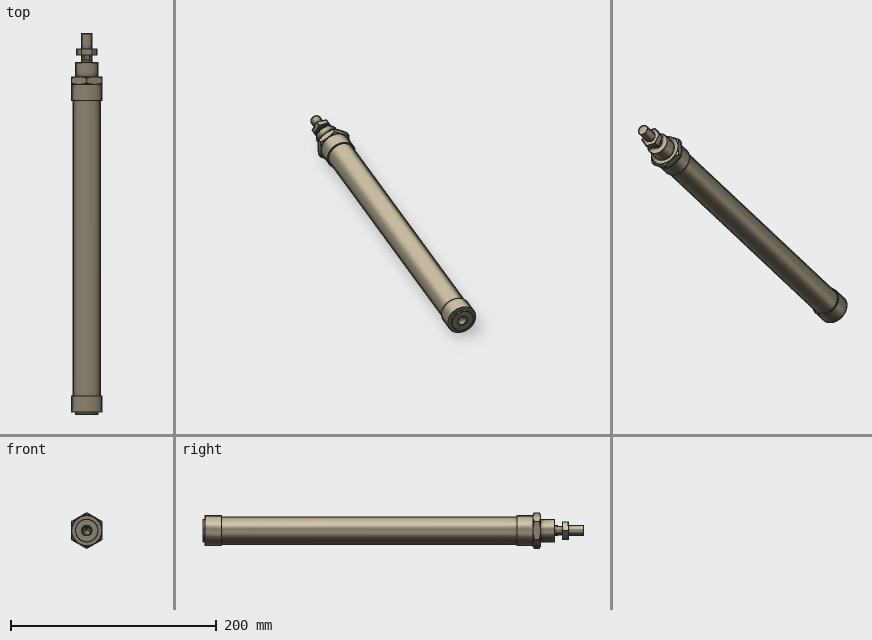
import cadquery as cq
import math

TOTAL_LENGTH = 370.5
ROD_TIP = TOTAL_LENGTH / 2
REAR_END = -TOTAL_LENGTH / 2

BARREL_DIAMETER = 26.5
CAP_DIAMETER = 29.3
BOSS_DIAMETER = 22.0
FRONT_BOSS_FACE = ROD_TIP - 28.0
FRONT_CAP_FACE = FRONT_BOSS_FACE - 21.0
FRONT_CAP_LENGTH = 15.5
REAR_CAP_LENGTH = 16.0
REAR_BOSS_LENGTH = 2.2
PORT_DIAMETER = 9.0
PORT_CHAMFER = 0.55
PORT_DEPTH = 11.0
DRILL_POINT_ANGLE = 118.0

ROD_DIAMETER = 10.0
WRENCH_FLAT_WIDTH = 8.0
WRENCH_FLAT_LENGTH = 5.0
ROD_REAR_END = FRONT_CAP_FACE - FRONT_CAP_LENGTH

ROD_NUT_FLATS = 17.0
ROD_NUT_THICKNESS = 6.0
ROD_NUT_FRONT = ROD_TIP - 15.0
FLAT_FRONT = ROD_NUT_FRONT - ROD_NUT_THICKNESS

MOUNT_NUT_FLATS = 30.0
MOUNT_NUT_THICKNESS = 7.5
CHAMFER_ANGLE = 30.0


def cylinder(diameter, start, length):
    """Cylinder about the Y axis, running from start towards -Y."""
    return cq.Workplane("XZ", origin=(0, start, 0)).circle(diameter / 2).extrude(length)


def hex_nut(across_flats, bore, front, thickness, corner_angle):
    """Hexagonal nut with corners at corner_angle from the X axis."""
    corner_diameter = across_flats / math.cos(math.radians(30))
    return (
        cq.Workplane("XZ", origin=(0, front, 0))
        .transformed(rotate=(0, 0, corner_angle))
        .polygon(6, corner_diameter)
        .circle(bore / 2)
        .extrude(thickness)
    )


def corner_chamfer_envelope(across_flats, front, thickness):
    """Double-coned disc that trims the corners of a nut on both faces."""
    face_radius = across_flats / 2
    corner_radius = face_radius / math.cos(math.radians(30))
    chamfer_height = (corner_radius - face_radius) * math.tan(math.radians(CHAMFER_ANGLE))
    back = front - thickness
    return (
        cq.Workplane("XY")
        .moveTo(0, back)
        .lineTo(face_radius, back)
        .lineTo(corner_radius, back + chamfer_height)
        .lineTo(corner_radius, front - chamfer_height)
        .lineTo(face_radius, front)
        .lineTo(0, front)
        .close()
        .revolve(360, (0, 0, 0), (0, 1, 0))
    )


def rear_port():
    """Blind drilled port with a chamfered mouth and a conical bottom."""
    radius = PORT_DIAMETER / 2
    point_height = radius / math.tan(math.radians(DRILL_POINT_ANGLE / 2))
    return (
        cq.Workplane("XY")
        .moveTo(0, REAR_END)
        .lineTo(radius + PORT_CHAMFER, REAR_END)
        .lineTo(radius, REAR_END + PORT_CHAMFER)
        .lineTo(radius, REAR_END + PORT_DEPTH)
        .lineTo(0, REAR_END + PORT_DEPTH + point_height)
        .close()
        .revolve(360, (0, 0, 0), (0, 1, 0))
    )


def make_housing():
    rear_cap_face = REAR_END + REAR_BOSS_LENGTH
    body = cylinder(BOSS_DIAMETER, FRONT_BOSS_FACE, FRONT_BOSS_FACE - REAR_END)
    body = body.union(cylinder(BARREL_DIAMETER, FRONT_CAP_FACE, FRONT_CAP_FACE - rear_cap_face))
    body = body.union(cylinder(CAP_DIAMETER, FRONT_CAP_FACE, FRONT_CAP_LENGTH))
    body = body.union(cylinder(CAP_DIAMETER, rear_cap_face + REAR_CAP_LENGTH, REAR_CAP_LENGTH))
    rod_socket = cylinder(ROD_DIAMETER, FRONT_BOSS_FACE, FRONT_BOSS_FACE - ROD_REAR_END)
    return body.cut(rod_socket).cut(rear_port())


def make_rod():
    rod = cylinder(ROD_DIAMETER, ROD_TIP, ROD_TIP - ROD_REAR_END)
    flat_centre = FLAT_FRONT - WRENCH_FLAT_LENGTH / 2
    for side in (-1, 1):
        cutter_centre = side * (WRENCH_FLAT_WIDTH + ROD_DIAMETER) / 2
        cutter = cq.Workplane("XY", origin=(0, flat_centre, cutter_centre))
        rod = rod.cut(cutter.box(ROD_DIAMETER, WRENCH_FLAT_LENGTH, ROD_DIAMETER))
    return rod


def make_rod_nut():
    return hex_nut(ROD_NUT_FLATS, ROD_DIAMETER, ROD_NUT_FRONT, ROD_NUT_THICKNESS, 0)


def make_mount_nut():
    front = FRONT_CAP_FACE + MOUNT_NUT_THICKNESS
    nut = hex_nut(MOUNT_NUT_FLATS, BOSS_DIAMETER, front, MOUNT_NUT_THICKNESS, 90)
    return nut.intersect(corner_chamfer_envelope(MOUNT_NUT_FLATS, front, MOUNT_NUT_THICKNESS))


housing = make_housing()
rod = make_rod()
rod_nut = make_rod_nut()
mount_nut = make_mount_nut()

result = cq.Compound.makeCompound([housing.val(), rod.val(), rod_nut.val(), mount_nut.val()])